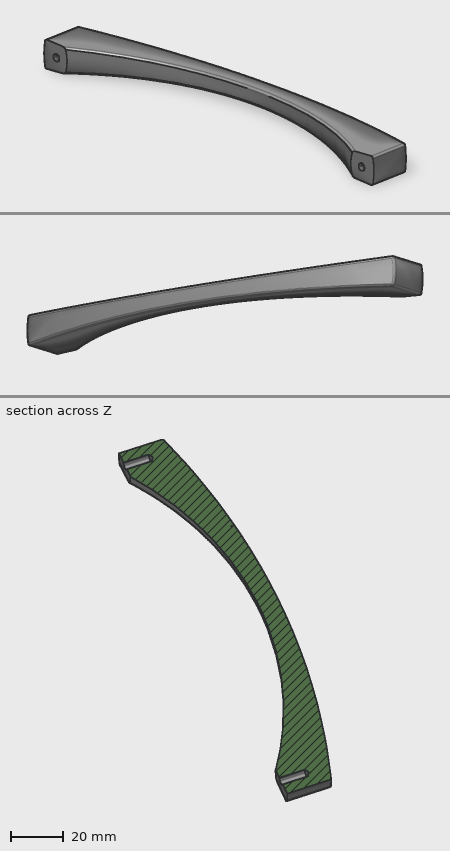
import cadquery as cq
import math

length = 173.0
depth = 31.0
foot_height = 12.1
waist_height = 7.1

end_depth = 18.2
end_bulge = 0.7
foot_length = 12.1
bar_thickness = 8.1

crown_radius = 26.0
edge_radius = 1.0

hole_spacing = 160.0
hole_diameter = 3.1
hole_depth = 10.4
drill_tip_angle = 118.0

half_length = length / 2
end_x = half_length - end_bulge
foot_z = foot_height / 2
waist_z = waist_height / 2

inner_half_span = half_length - foot_length
inner_rise = depth - bar_thickness
inner_radius = (inner_half_span**2 + inner_rise**2) / (2 * inner_rise)
inner_center_y = inner_rise - inner_radius


def plan_prism():
    """Slab in XY with straight ends and an arched back, as tall as the feet."""
    return (
        cq.Workplane("XY")
        .moveTo(-half_length, 0)
        .lineTo(-half_length, end_depth)
        .threePointArc((0, depth), (half_length, end_depth))
        .lineTo(half_length, 0)
        .close()
        .extrude(foot_z, both=True)
    )


def arch_cutter():
    """Disc below the bow; its hollowed rim leaves a crowned inner face."""
    rim_z = foot_height
    rim_radius = inner_radius + crown_radius - math.sqrt(crown_radius**2 - rim_z**2)
    return (
        cq.Workplane("XZ", origin=(0, inner_center_y, 0))
        .moveTo(0, -rim_z)
        .lineTo(rim_radius, -rim_z)
        .threePointArc((inner_radius, 0), (rim_radius, rim_z))
        .lineTo(0, rim_z)
        .close()
        .revolve(360, (0, 0), (0, 1))
    )


def waisted_prism():
    """Elevation in XZ: narrow waist at mid-span and bowed ends, through the full depth."""
    return (
        cq.Workplane("XZ")
        .moveTo(-end_x, foot_z)
        .threePointArc((0, waist_z), (end_x, foot_z))
        .threePointArc((half_length, 0), (end_x, -foot_z))
        .threePointArc((0, -waist_z), (-end_x, -foot_z))
        .threePointArc((-half_length, 0), (-end_x, foot_z))
        .close()
        .extrude(-depth)
    )


def screw_hole(x):
    """Blind hole with a conical drill tip, rising from a foot face along +Y."""
    radius = hole_diameter / 2
    tip_length = radius / math.tan(math.radians(drill_tip_angle / 2))
    return (
        cq.Workplane("XY")
        .moveTo(x, 0)
        .lineTo(x + radius, 0)
        .lineTo(x + radius, hole_depth)
        .lineTo(x, hole_depth + tip_length)
        .close()
        .revolve(360, (x, 0), (x, 1))
    )


def is_above_feet(edge):
    """True for every edge that does not lie in the flat foot faces."""
    return edge.BoundingBox().ymax > edge_radius


body = plan_prism().intersect(waisted_prism()).cut(arch_cutter())
result = body.edges().filter(is_above_feet).fillet(edge_radius)
for hole_x in (-hole_spacing / 2, hole_spacing / 2):
    result = result.cut(screw_hole(hole_x))